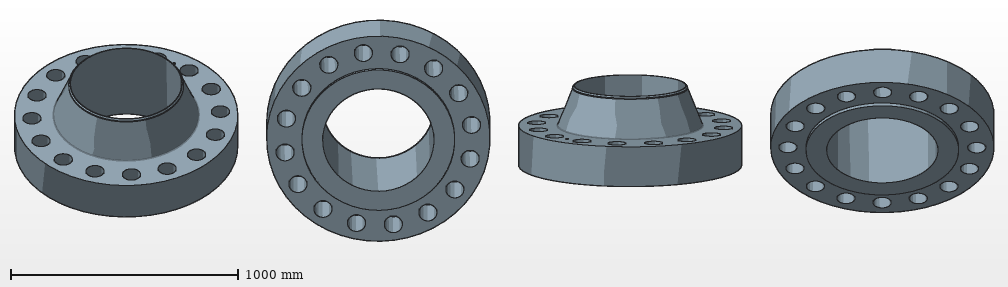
import cadquery as cq
import math

flange_diameter = 984.0
flange_thickness = 179.0
face_diameter = 673.0
face_height = 16.0
overall_height = 373.0

neck_base_diameter = 641.0
neck_root_fillet = 3.0
neck_tip_diameter = 507.0
neck_tip_height = 12.0
bore_diameter = 490.0
bevel_width = 6.0
bevel_height = 7.0

bolt_count = 16
bolt_circle_diameter = 831.0
bolt_hole_diameter = 80.0
small_hole_diameter = 9.0
small_hole_chamfer = 2.0
small_hole_depth = 26.0

bolt_pitch = 360 / bolt_count
small_hole_angle = 90 + bolt_pitch / 2
flange_top = face_height + flange_thickness


def make_body():
    """Revolve the half section, bore included, about Z and fillet the root of the neck."""
    bore_radius = bore_diameter / 2
    face_radius = face_diameter / 2
    flange_radius = flange_diameter / 2
    tip_radius = neck_tip_diameter / 2
    section = (
        cq.Workplane("XZ")
        .moveTo(bore_radius, 0)
        .lineTo(face_radius, 0)
        .lineTo(face_radius, face_height)
        .lineTo(flange_radius, face_height)
        .lineTo(flange_radius, flange_top)
        .lineTo(neck_base_diameter / 2, flange_top)
        .lineTo(tip_radius, overall_height - neck_tip_height)
        .lineTo(tip_radius, overall_height - bevel_height)
        .lineTo(tip_radius - bevel_width, overall_height)
        .lineTo(bore_radius, overall_height)
        .close()
    )
    body = section.revolve(360, (0, 0, 0), (0, 1, 0))
    neck_root = cq.selectors.RadiusNthSelector(0)
    neck_root_edges = body.faces("+Z").faces("<Z").edges(neck_root)
    return neck_root_edges.fillet(neck_root_fillet)


def make_bolt_holes():
    """Through holes evenly spaced on the bolt circle, the first one on +X."""
    return (
        cq.Workplane("XY")
        .polarArray(bolt_circle_diameter / 2, 0, 360, bolt_count)
        .circle(bolt_hole_diameter / 2)
        .extrude(flange_top)
    )


def make_small_hole():
    """Blind hole on the bolt circle, sunk from the top of the flange with a chamfered mouth."""
    angle = math.radians(small_hole_angle)
    radius = bolt_circle_diameter / 2
    chamfer_radius = small_hole_diameter / 2 + small_hole_chamfer
    mouth = cq.Workplane("XY", origin=(radius * math.cos(angle), radius * math.sin(angle), flange_top))
    drilled = mouth.circle(small_hole_diameter / 2).extrude(-small_hole_depth)
    chamfer = mouth.circle(chamfer_radius).extrude(-small_hole_chamfer, taper=45)
    return drilled.union(chamfer)


result = make_body().cut(make_bolt_holes()).cut(make_small_hole())